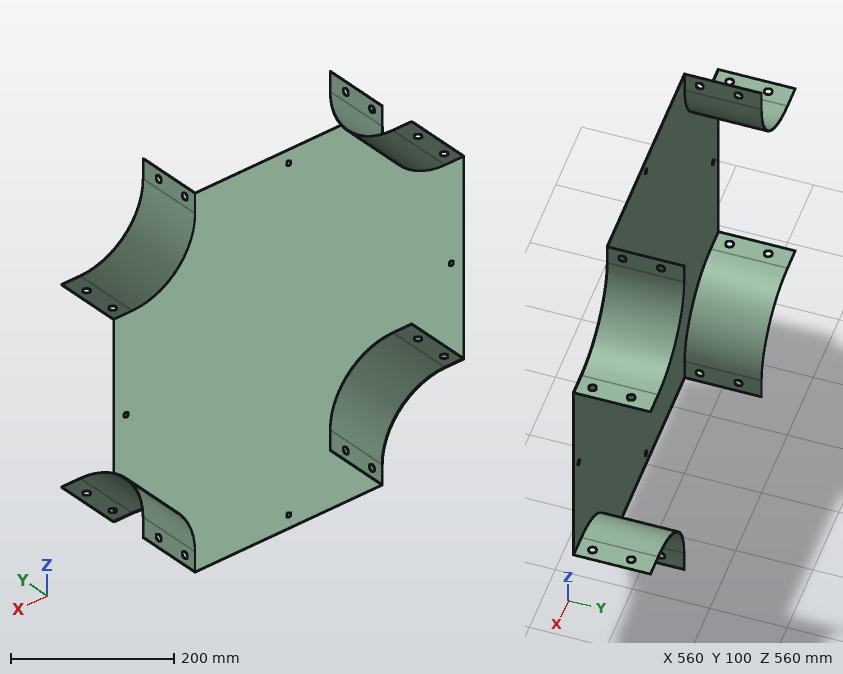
import cadquery as cq
import math

span = 560.0
depth = 100.0
sheet = 0.8
arm_width = 300.0
corner_radius = 100.0

plate_hole_diameter = 7.0
plate_hole_inset = 20.0

wall_hole_diameter = 10.0
wall_hole_inset = 15.0
wall_hole_heights = (20.0, 70.0)

half_span = span / 2
half_arm = arm_width / 2
arc_centre = half_arm + corner_radius
wall_hole_position = half_span - wall_hole_inset
plate_hole_position = half_span - plate_hole_inset
quarter_turns = (0, 90, 180, 270)


def corner_profile(offset):
    """Area outside the +X +Z corner of the cross, its edge moved inward by the offset."""
    edge = half_arm - offset
    arc_middle = arc_centre - (corner_radius + offset) * math.cos(math.radians(45))
    return (
        cq.Workplane("XZ")
        .moveTo(edge, half_span)
        .lineTo(edge, arc_centre)
        .threePointArc((arc_middle, arc_middle), (arc_centre, edge))
        .lineTo(half_span, edge)
        .lineTo(half_span, half_span)
        .close()
    )


def around_axis(shape):
    """Copies of a shape at the four quarter turns about the Y axis."""
    return [shape.rotate((0, 0, 0), (0, 1, 0), angle) for angle in quarter_turns]


def make_plate():
    """Cross-shaped plate on the -Y side, with a hole near each arm end."""
    plate = cq.Workplane("XZ").rect(span, span).extrude(-sheet)
    for corner in around_axis(corner_profile(0).extrude(-sheet)):
        plate = plate.cut(corner)
    hole = (
        cq.Workplane("XZ")
        .center(plate_hole_position, 0)
        .circle(plate_hole_diameter / 2)
        .extrude(-sheet)
    )
    for arm_hole in around_axis(hole):
        plate = plate.cut(arm_hole)
    return plate


def make_wall():
    """Curved wall along one inner corner, with a pair of holes in each flat end."""
    wall = corner_profile(sheet).extrude(-depth).cut(corner_profile(0).extrude(-depth))
    drill_start = half_arm - 2 * sheet
    drill_length = 3 * sheet
    radius = wall_hole_diameter / 2
    for hole_y in wall_hole_heights:
        along_x = cq.Solid.makeCylinder(
            radius, drill_length, cq.Vector(drill_start, hole_y, wall_hole_position), cq.Vector(1, 0, 0)
        )
        along_z = cq.Solid.makeCylinder(
            radius, drill_length, cq.Vector(wall_hole_position, hole_y, drill_start), cq.Vector(0, 0, 1)
        )
        wall = wall.cut(cq.Workplane(along_x)).cut(cq.Workplane(along_z))
    return wall


result = make_plate()
for wall in around_axis(make_wall()):
    result = result.union(wall)